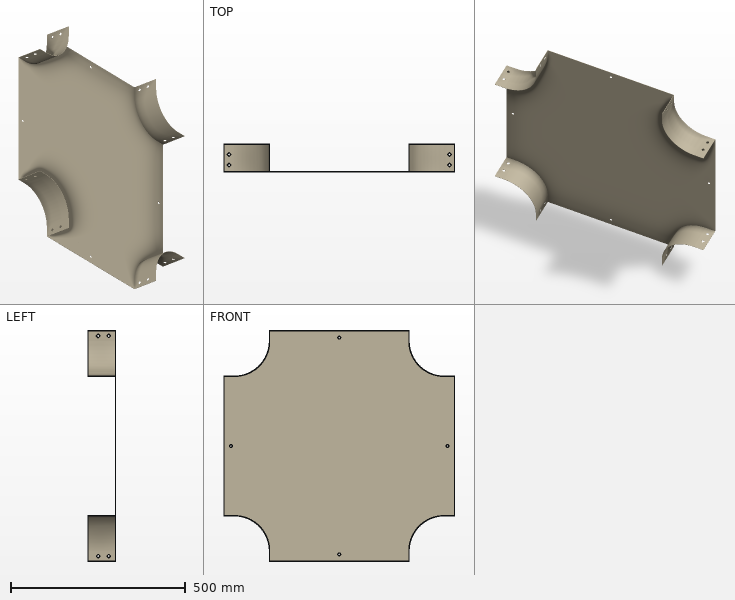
import cadquery as cq

side = 660.0
depth = 80.0
sheet = 1.0

tab = 30.0
bend_radius = 100.0
notch = tab + bend_radius

plate_hole_diameter = 7.0
plate_hole_inset = 20.0

tab_hole_width = 7.0
tab_hole_tilt = 45
tab_hole_inset = tab / 2
tab_hole_heights = (20.0, 50.0)

half = side / 2
shoulder = half - notch
bend_start = half - tab


def front_plane():
    """XZ plane at the plate's front face; negative extrusions run toward +Y."""
    return cq.Workplane("XZ")


def corner_column(offset):
    """Full-depth column filling the +X +Z notch, its curved face grown inward by offset."""
    face = shoulder - offset
    radius = bend_radius + offset
    return (
        front_plane()
        .moveTo(half, half)
        .lineTo(face, half)
        .lineTo(face, bend_start)
        .radiusArc((bend_start, face), -radius)
        .lineTo(half, face)
        .close()
        .extrude(-depth)
    )


def turned(shape, quarter_turns):
    """Shape turned about the plate's central axis."""
    return shape.rotate((0, 0, 0), (0, 1, 0), 90 * quarter_turns)


def make_plate():
    """Flat square sheet with its four round holes."""
    hole_reach = half - plate_hole_inset
    hole_centers = [(hole_reach, 0), (-hole_reach, 0), (0, hole_reach), (0, -hole_reach)]
    return (
        front_plane()
        .rect(side, side)
        .extrude(-sheet)
        .faces("<Y")
        .workplane(origin=(0, 0, 0))
        .pushPoints(hole_centers)
        .hole(plate_hole_diameter)
    )


def tab_hole_bars():
    """Square bars along Z that pierce the top and bottom tabs on both sides."""
    hole_reach = half - tab_hole_inset
    hole_centers = [(x, y) for x in (-hole_reach, hole_reach) for y in tab_hole_heights]
    square = cq.Sketch().rect(tab_hole_width, tab_hole_width, angle=tab_hole_tilt)
    return (
        cq.Workplane("XY", origin=(0, 0, -half))
        .pushPoints(hole_centers)
        .placeSketch(square)
        .extrude(side)
    )


notch_column = corner_column(0)
corner_wall = corner_column(sheet).cut(notch_column)

result = make_plate()
for quarter in range(4):
    result = result.cut(turned(notch_column, quarter))
    result = result.union(turned(corner_wall, quarter))

hole_bars = tab_hole_bars()
for quarter in range(2):
    result = result.cut(turned(hole_bars, quarter))